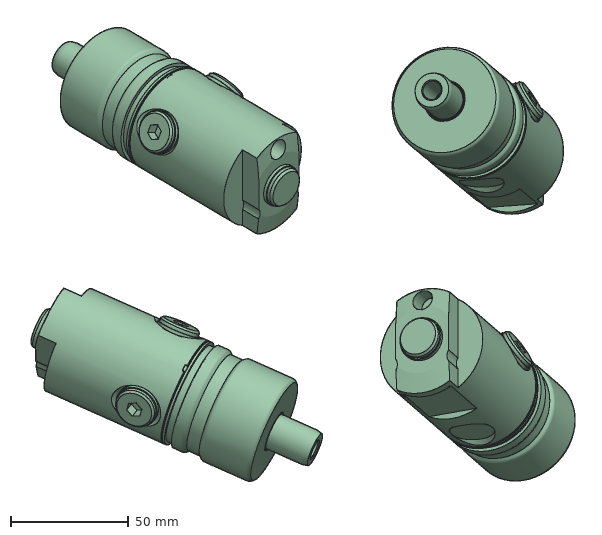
import cadquery as cq
import math

total_length = 131.2

stub_diameter = 16.1
stub_root_diameter = 16.9
stub_tip_diameter = 15.0
stub_taper_length = 2.5
stub_bore_diameter = 8.1
stub_bore_chamfer = 0.46
stub_clearance_diameter = 18.0
stub_clearance_depth = 1.3

body_diameter = 48.0
groove_diameter = 45.0
flange_start = 19.4
flange_chamfer = 0.7
wide_groove_start = 44.1
wide_groove_end = 50.0
narrow_groove_start = 56.5
narrow_groove_end = 59.8
edge_rounding = 2.0
seam_start = 61.0
seam_width = 0.5
seam_depth = 0.4
body_end = 126.9
end_taper_length = 1.2
end_flat_diameter = 30.7

collar_diameter = 19.0
collar_length = 1.6
spigot_diameter = 18.0
spigot_chamfer_length = 1.2
spigot_chamfer_drop = 0.8

tongue_width = 24.8
shoulder_x = 117.2
axial_hole_diameter = 9.0
axial_hole_circle_radius = 18.6
axial_hole_angles = (90, 210, 330)

flat_start = 95.0
flat_end = 121.6
flat_height = 21.3

notch_length = 1.5
notch_width = 2.9
notch_depth = 0.7

port_x = 74.9
port_floor_height = 22.0
open_port_angle = 270
plugged_port_angles = (30, 150)
washer_diameter = 19.0
washer_top = 23.6
plug_diameter = 18.0
plug_top = 26.1
plug_chamfer = 0.9
hex_corner_diameter = 7.2
hex_depth = 5.2

body_radius = body_diameter / 2
groove_radius = groove_diameter / 2
port_floor_radius = washer_diameter / 2
edge_angle = math.radians(45)

blend_run = edge_rounding * math.sin(edge_angle)
blend_drop = edge_rounding * (1 - math.cos(edge_angle))
blend_mid_run = edge_rounding * math.sin(edge_angle / 2)
blend_mid_drop = edge_rounding * (1 - math.cos(edge_angle / 2))


def blend_up(outline, start, foot_radius):
    """Step out to foot_radius at the station start, then chamfer and arc up to the body surface."""
    shoulder_radius = body_radius - blend_drop
    arc_start = start + shoulder_radius - foot_radius
    arc_end = arc_start + blend_run
    return (
        outline.lineTo(start, foot_radius)
        .lineTo(arc_start, shoulder_radius)
        .threePointArc((arc_end - blend_mid_run, body_radius - blend_mid_drop), (arc_end, body_radius))
    )


def blend_down(outline, end, foot_radius):
    """Run along the body surface, then arc and chamfer down to foot_radius at the station end."""
    shoulder_radius = body_radius - blend_drop
    arc_end = end - (shoulder_radius - foot_radius)
    arc_start = arc_end - blend_run
    return (
        outline.lineTo(arc_start, body_radius)
        .threePointArc((arc_start + blend_mid_run, body_radius - blend_mid_drop), (arc_end, shoulder_radius))
        .lineTo(end, foot_radius)
    )


def turned_body():
    """Revolve the stepped outline, from the stub tip to the outlet spigot."""
    stub_radius = stub_diameter / 2
    spigot_radius = spigot_diameter / 2
    collar_radius = collar_diameter / 2
    seam_radius = body_radius - seam_depth
    seam_end = seam_start + seam_width
    collar_end = body_end + collar_length
    flange_foot_radius = body_radius - blend_drop - flange_chamfer

    outline = (
        cq.Workplane("XY")
        .lineTo(0, stub_tip_diameter / 2)
        .lineTo(stub_taper_length, stub_radius)
        .lineTo(flange_start, stub_radius)
    )
    outline = blend_up(outline, flange_start, flange_foot_radius)
    outline = blend_down(outline, wide_groove_start, groove_radius)
    outline = blend_up(outline, wide_groove_end, groove_radius)
    outline = (
        outline.lineTo(narrow_groove_start, body_radius)
        .lineTo(narrow_groove_start, groove_radius)
        .lineTo(narrow_groove_end, groove_radius)
        .lineTo(narrow_groove_end, body_radius)
        .lineTo(seam_start, body_radius)
        .lineTo(seam_start, seam_radius)
        .lineTo(seam_end, seam_radius)
        .lineTo(seam_end, body_radius)
        .lineTo(body_end - end_taper_length, body_radius)
        .lineTo(body_end, end_flat_diameter / 2)
        .lineTo(body_end, collar_radius)
        .lineTo(collar_end, collar_radius)
        .lineTo(collar_end, spigot_radius)
        .lineTo(total_length - spigot_chamfer_length, spigot_radius)
        .lineTo(total_length, spigot_radius - spigot_chamfer_drop)
        .lineTo(total_length, 0)
        .close()
    )
    return outline.revolve(360, (0, 0), (1, 0))


def cylinder_x(diameter, start, end, y=0, z=0):
    """Cylinder along X between two stations."""
    return cq.Workplane("YZ", origin=(start, y, z)).circle(diameter / 2).extrude(end - start)


def stub_openings():
    """Bore in the stub, with a chamfered mouth, and the clearance ring around its root."""
    mouth_radius = stub_bore_diameter / 2 + stub_bore_chamfer
    bore_outline = [
        (0, 0),
        (0, mouth_radius),
        (stub_bore_chamfer, stub_bore_diameter / 2),
        (flange_start, stub_bore_diameter / 2),
        (flange_start, 0),
    ]
    bore = cq.Workplane("XY").polyline(bore_outline).close().revolve(360, (0, 0), (1, 0))
    clearance_end = flange_start + stub_clearance_depth
    ring = cylinder_x(stub_clearance_diameter, flange_start, clearance_end)
    ring = ring.cut(cylinder_x(stub_root_diameter, flange_start, clearance_end))
    return bore.union(ring)


def tongue_sides():
    """Material removed on both sides to leave the tongue."""
    length = total_length - shoulder_x
    side_width = body_radius
    offset = (tongue_width + side_width) / 2
    return (
        cq.Workplane("XY")
        .pushPoints([(shoulder_x + length / 2, offset), (shoulder_x + length / 2, -offset)])
        .box(length, side_width, body_diameter)
    )


def axial_hole(angle):
    """Hole along X, from the end face to the shoulder."""
    y = axial_hole_circle_radius * math.cos(math.radians(angle))
    z = axial_hole_circle_radius * math.sin(math.radians(angle))
    return cylinder_x(axial_hole_diameter, shoulder_x, total_length, y, z)


def underside_flat():
    depth = body_radius - flat_height
    return cq.Workplane("XY").box(
        flat_end - flat_start, body_diameter, depth, centered=(False, True, False)
    ).translate((flat_start, 0, -body_radius))


def alignment_notch():
    return cq.Workplane("XY").box(
        notch_length, notch_width, notch_depth, centered=(False, True, False)
    ).translate((seam_start, 0, body_radius - notch_depth))


def at_port(shape, angle):
    """Turn a shape built along +Z about X to the port angle, measured from +Y towards +Z."""
    return shape.translate((port_x, 0, 0)).rotate((0, 0, 0), (1, 0, 0), angle - 90)


def port_seat():
    """45 degree conical sink with a flat floor, widening outwards past the body surface."""
    rise = plug_top - port_floor_height
    outline = [
        (0, port_floor_height),
        (port_floor_radius, port_floor_height),
        (port_floor_radius + rise, plug_top),
        (0, plug_top),
    ]
    return cq.Workplane("XZ").polyline(outline).close().revolve(360, (0, 0), (0, 1))


def screw_plug():
    """Washer on the seat floor and a chamfered plug head above it."""
    washer = (
        cq.Workplane("XY", origin=(0, 0, port_floor_height))
        .circle(washer_diameter / 2)
        .extrude(washer_top - port_floor_height)
    )
    head = (
        cq.Workplane("XY", origin=(0, 0, washer_top))
        .circle(plug_diameter / 2)
        .extrude(plug_top - washer_top)
        .faces(">Z")
        .chamfer(plug_chamfer)
    )
    return washer.union(head)


def hexagon_socket():
    """Socket with its corners pointing around the body."""
    return (
        cq.Workplane("XY", origin=(0, 0, plug_top - hex_depth))
        .transformed(rotate=(0, 0, 90))
        .polygon(6, hex_corner_diameter)
        .extrude(hex_depth)
    )


result = turned_body().cut(stub_openings()).cut(underside_flat()).cut(alignment_notch())

result = result.cut(tongue_sides())
for hole_angle in axial_hole_angles:
    result = result.cut(axial_hole(hole_angle))

result = result.cut(at_port(port_seat(), open_port_angle))
for port_angle in plugged_port_angles:
    result = result.cut(at_port(port_seat(), port_angle))
    result = result.union(at_port(screw_plug(), port_angle))
    result = result.cut(at_port(hexagon_socket(), port_angle))